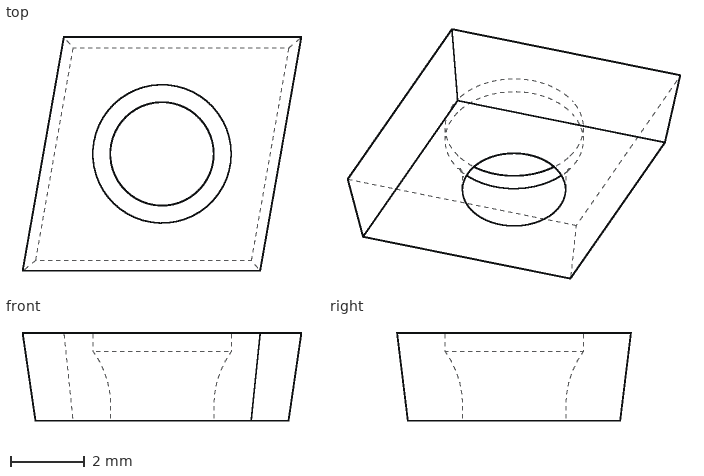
import cadquery as cq
import math

length = 7.56
corner_angle = math.radians(80)
clearance_angle = 7.0
thickness = 2.38

seat_radius = 1.875
bore_radius = 1.4
seat_depth = 0.49
bore_depth = 1.965

side = length / (1 + math.cos(corner_angle))
half_width = side * math.sin(corner_angle) / 2
half_lean = side * math.cos(corner_angle) / 2
half_side = side / 2


def insert_body():
    """Rhombic body tapering downward from its top face at Z = 0."""
    corners = [
        (-half_side - half_lean, -half_width),
        (half_side - half_lean, -half_width),
        (half_side + half_lean, half_width),
        (-half_side + half_lean, half_width),
    ]
    return (
        cq.Workplane("XY")
        .polyline(corners)
        .close()
        .extrude(-thickness, taper=clearance_angle)
    )


def screw_hole():
    """Cylindrical mouth, then a convex seat running tangentially into the bore."""
    seat_height = bore_depth - seat_depth
    step = seat_radius - bore_radius
    arc_radius = (seat_height**2 + step**2) / (2 * step)
    half_sweep = math.asin(seat_height / arc_radius) / 2
    arc_middle = (
        bore_radius + arc_radius * (1 - math.cos(half_sweep)),
        -bore_depth + arc_radius * math.sin(half_sweep),
    )
    return (
        cq.Workplane("XZ")
        .moveTo(0, 0)
        .lineTo(seat_radius, 0)
        .lineTo(seat_radius, -seat_depth)
        .threePointArc(arc_middle, (bore_radius, -bore_depth))
        .lineTo(bore_radius, -thickness)
        .lineTo(0, -thickness)
        .close()
        .revolve(360, (0, 0, 0), (0, 1, 0))
    )


result = insert_body().cut(screw_hole())